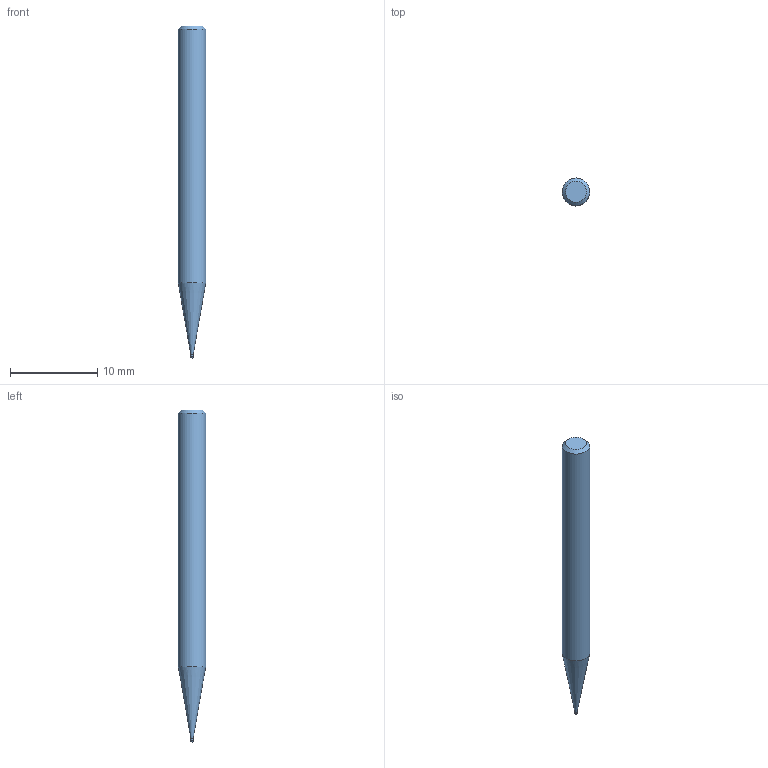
import cadquery as cq
import math

overall_length = 38.1
shank_diameter = 3.175
top_chamfer = 0.381
tip_diameter = 0.254
tip_length = 1.5 * tip_diameter
taper_half_angle = 10

shank_radius = shank_diameter / 2
tip_radius = tip_diameter / 2
taper_length = (shank_radius - tip_radius) / math.tan(math.radians(taper_half_angle))
taper_top = tip_length + taper_length


def turned_body():
    """Revolve the half profile: ball end, straight tip, taper and shank."""
    arc_middle = tip_radius * math.sin(math.radians(45))
    profile = (
        cq.Workplane("XZ")
        .moveTo(0, 0)
        .threePointArc((arc_middle, tip_radius - arc_middle), (tip_radius, tip_radius))
        .lineTo(tip_radius, tip_length)
        .lineTo(shank_radius, taper_top)
        .lineTo(shank_radius, overall_length)
        .lineTo(0, overall_length)
        .close()
    )
    return profile.revolve(360, (0, 0, 0), (0, 1, 0))


def chamfer_top(body):
    """Bevel the rim of the flat shank end at 45 degrees."""
    return body.faces(">Z").chamfer(top_chamfer)


result = chamfer_top(turned_body())